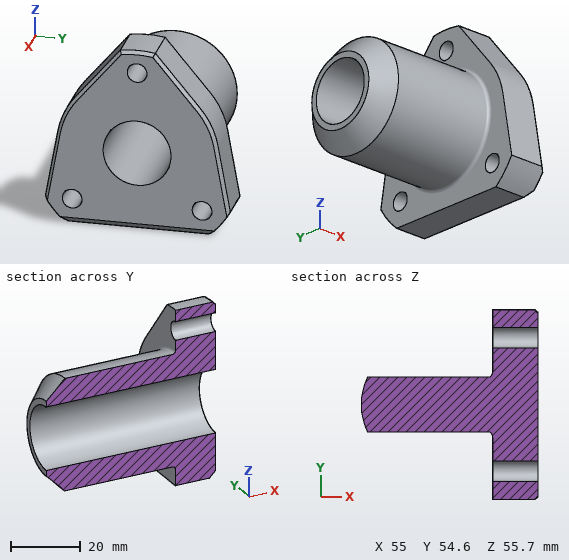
import cadquery as cq
import math

total_length = 55.0
flange_thickness = 13.05
tube_diameter = 35.8
bore_diameter = 20.0
nose_chamfer = 6.0
root_fillet = 1.0

core_radius = 24.0
lobe_radius = 31.7
edge_chamfer = 1.0
bottom_chamfer = 2.0

bolt_hole_diameter = 5.8
bolt_circle_radius = 25.0
top_lobe_angle = 90
lower_lobe_angle = -40
bolt_angles = (180 - lower_lobe_angle, lower_lobe_angle, top_lobe_angle)

tangent_angle = math.degrees(math.acos(core_radius / lobe_radius))
bottom_corner_angle = -90 + tangent_angle
lobe_half_angle = 9.4
side_corner_angle = lower_lobe_angle + lobe_half_angle
top_corner_angle = top_lobe_angle - lobe_half_angle
shoulder_start_angle = side_corner_angle + tangent_angle
shoulder_end_angle = top_corner_angle - tangent_angle


def polar(radius, angle):
    """Point in the YZ plane at an angle from +Y towards +Z."""
    return (radius * math.cos(math.radians(angle)), radius * math.sin(math.radians(angle)))


def mirrored(point):
    """The matching point on the other side of the XZ plane."""
    return (-point[0], point[1])


def make_flange():
    bottom_corner = polar(lobe_radius, bottom_corner_angle)
    lobe_middle = polar(lobe_radius, (bottom_corner_angle + side_corner_angle) / 2)
    side_corner = polar(lobe_radius, side_corner_angle)
    shoulder_start = polar(core_radius, shoulder_start_angle)
    shoulder_middle = polar(core_radius, (shoulder_start_angle + shoulder_end_angle) / 2)
    shoulder_end = polar(core_radius, shoulder_end_angle)
    top_corner = polar(lobe_radius, top_corner_angle)
    return (
        cq.Workplane("YZ")
        .moveTo(*mirrored(bottom_corner))
        .lineTo(*bottom_corner)
        .threePointArc(lobe_middle, side_corner)
        .lineTo(*shoulder_start)
        .threePointArc(shoulder_middle, shoulder_end)
        .lineTo(*top_corner)
        .threePointArc((0, lobe_radius), mirrored(top_corner))
        .lineTo(*mirrored(shoulder_end))
        .threePointArc(mirrored(shoulder_middle), mirrored(shoulder_start))
        .lineTo(*mirrored(side_corner))
        .threePointArc(mirrored(lobe_middle), mirrored(bottom_corner))
        .close()
        .extrude(-flange_thickness)
    )


def chamfer_flange(flange):
    """Bevel the mounting face rim, leaving the arcs of the two lower lobes sharp."""
    side_corner_height = polar(lobe_radius, side_corner_angle)[1]
    flange = (
        flange.faces(">X").edges()
        .filter(lambda edge: edge.Center().z > side_corner_height)
        .chamfer(edge_chamfer)
    )
    return flange.faces(">X").edges("<Z").chamfer(bottom_chamfer)


def make_tube():
    return (
        cq.Workplane("YZ", origin=(-flange_thickness, 0, 0))
        .circle(tube_diameter / 2)
        .extrude(flange_thickness - total_length)
        .faces("<X")
        .chamfer(nose_chamfer)
    )


def fillet_tube_root(body):
    tolerance = 0.005
    root_plane = cq.selectors.BoxSelector(
        (-flange_thickness - tolerance, -tolerance, -tolerance),
        (-flange_thickness + tolerance, tolerance, tolerance),
    )
    return body.edges("%CIRCLE").edges(root_plane).fillet(root_fillet)


def make_holes():
    bore = cq.Workplane("YZ").circle(bore_diameter / 2).extrude(-total_length)
    bolt_holes = (
        cq.Workplane("YZ")
        .pushPoints([polar(bolt_circle_radius, angle) for angle in bolt_angles])
        .circle(bolt_hole_diameter / 2)
        .extrude(-flange_thickness)
    )
    return bore.union(bolt_holes)


body = chamfer_flange(make_flange()).union(make_tube())
result = fillet_tube_root(body).cut(make_holes())